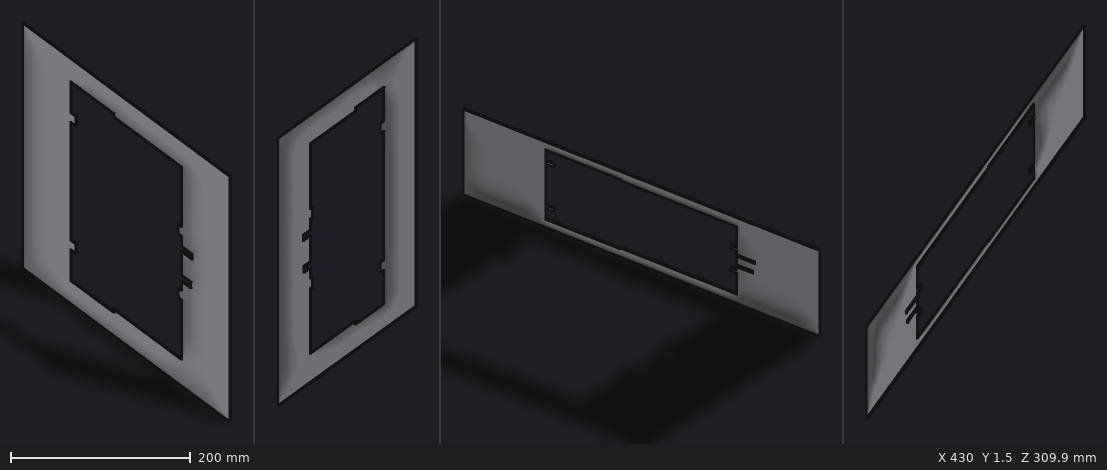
import cadquery as cq

PANEL_WIDTH = 430.0
PANEL_HEIGHT = 309.95
PANEL_THICKNESS = 1.5

WINDOW_LEFT = -116.0
WINDOW_STEP = -25.5
WINDOW_RIGHT = 115.0
TALL_HEIGHT = 251.0
LOW_HEIGHT = 243.0

TAB_WIDTH = 12.0
LEFT_TAB_LENGTH = 10.5
LEFT_TAB_SPACING = 161.0
RIGHT_TAB_LENGTH = 6.5
RIGHT_TAB_SPACING = 80.5

UPPER_SLOT_LENGTH = 22.0
UPPER_SLOT_BOTTOM = 15.0
UPPER_SLOT_TOP = 21.5
LOWER_SLOT_LENGTH = 19.5
LOWER_SLOT_BOTTOM = -22.5
LOWER_SLOT_TOP = -15.0


def plate(x_min, x_max, z_min, z_max):
    """Rectangular plate of panel thickness between the given X and Z limits."""
    return cq.Workplane("XY").box(
        x_max - x_min, PANEL_THICKNESS, z_max - z_min
    ).translate(((x_min + x_max) / 2, 0, (z_min + z_max) / 2))


def make_window():
    """Stepped window opening, symmetric about mid-height."""
    tall = plate(WINDOW_LEFT, WINDOW_STEP, -TALL_HEIGHT / 2, TALL_HEIGHT / 2)
    low = plate(WINDOW_STEP, WINDOW_RIGHT, -LOW_HEIGHT / 2, LOW_HEIGHT / 2)
    return tall.union(low)


def make_tab_pair(x_min, x_max, spacing):
    """Two equal tabs, their centre lines the given spacing apart in Z."""
    tabs = cq.Workplane("XY")
    for z_center in (-spacing / 2, spacing / 2):
        tabs = tabs.add(plate(x_min, x_max, z_center - TAB_WIDTH / 2, z_center + TAB_WIDTH / 2))
    return tabs.combine()


def make_slot(length, z_min, z_max):
    """Slot running outward from the right edge of the window."""
    return plate(WINDOW_RIGHT, WINDOW_RIGHT + length, z_min, z_max)


left_tabs = make_tab_pair(WINDOW_LEFT, WINDOW_LEFT + LEFT_TAB_LENGTH, LEFT_TAB_SPACING)
right_tabs = make_tab_pair(WINDOW_RIGHT - RIGHT_TAB_LENGTH, WINDOW_RIGHT, RIGHT_TAB_SPACING)
opening = (
    make_window()
    .cut(left_tabs)
    .cut(right_tabs)
    .union(make_slot(UPPER_SLOT_LENGTH, UPPER_SLOT_BOTTOM, UPPER_SLOT_TOP))
    .union(make_slot(LOWER_SLOT_LENGTH, LOWER_SLOT_BOTTOM, LOWER_SLOT_TOP))
)

panel = plate(-PANEL_WIDTH / 2, PANEL_WIDTH / 2, -PANEL_HEIGHT / 2, PANEL_HEIGHT / 2)
result = panel.cut(opening)